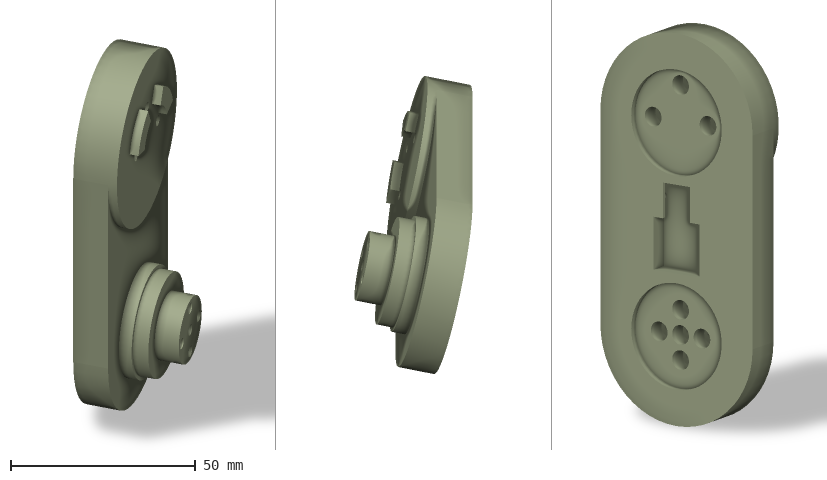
import cadquery as cq
import math

plate_width = 50.0
plate_height = 109.7
plate_thickness = 10.0
end_offset = (plate_height - plate_width) / 2

disk_front = 12.5

lug_front = 15.0
lug_start_angle = 15.2
lug_end_angle = 65.0

flange_diameter = 32.0
flange_front = 13.6
shoulder_diameter = 29.7
shoulder_front = 18.0
spigot_diameter = 19.2
spigot_front = 24.9

recess_diameter = 29.7
recess_depth = 2.0

upper_hole_diameter = 3.0
lower_hole_diameter = 3.2
counterbore_diameter = 5.5
counterbore_depth = 5.0
upper_hole_rise = 10.1
upper_hole_side = 9.0
lower_hole_radius = 7.0

pocket_depth = 5.0
lip_thickness = 1.0
pocket_width = 15.0
pocket_bottom = -12.3
pocket_shoulder = 2.5
neck_width = 9.0
neck_top = 12.5

detent_radius = 1.0
detent_depth = 4.6
detent_height = (pocket_shoulder + neck_top) / 2


def cylinder(diameter, start, end, y, z):
    """Cylinder along X between two x positions."""
    return cq.Workplane("YZ", origin=(start, y, z)).circle(diameter / 2).extrude(end - start)


def centered_block(width, bottom, top, start, end):
    """Box between two x positions and two heights, centered on y = 0."""
    block = cq.Workplane("XY").box(end - start, width, top - bottom, centered=(False, True, False))
    return block.translate((start, 0, bottom))


def lug(side):
    """Ring sector on the upper disk; side is +1 or -1 along Y."""

    def point(radius, angle):
        turn = math.radians(angle)
        return (side * radius * math.cos(turn), radius * math.sin(turn))

    inner = spigot_diameter / 2
    outer = shoulder_diameter / 2
    middle_angle = (lug_start_angle + lug_end_angle) / 2
    return (
        cq.Workplane("YZ", origin=(plate_thickness, 0, end_offset))
        .moveTo(*point(inner, lug_start_angle))
        .lineTo(*point(outer, lug_start_angle))
        .threePointArc(point(outer, middle_angle), point(outer, lug_end_angle))
        .lineTo(*point(inner, lug_end_angle))
        .threePointArc(point(inner, middle_angle), point(inner, lug_start_angle))
        .close()
        .extrude(lug_front - plate_thickness)
    )


def screw_hole(diameter, y, z):
    """Through hole with a counterbore below the recess floor."""
    bore = cylinder(diameter, 0, spigot_front, y, z)
    return bore.union(cylinder(counterbore_diameter, 0, recess_depth + counterbore_depth, y, z))


result = centered_block(plate_width, -end_offset, end_offset, 0, plate_thickness)
result = result.union(cylinder(plate_width, 0, disk_front, 0, end_offset))
result = result.union(cylinder(plate_width, 0, plate_thickness, 0, -end_offset))
for diameter, front in (
    (flange_diameter, flange_front),
    (shoulder_diameter, shoulder_front),
    (spigot_diameter, spigot_front),
):
    result = result.union(cylinder(diameter, 0, front, 0, -end_offset))
for side in (-1, 1):
    result = result.union(lug(side))

for center_height in (-end_offset, end_offset):
    result = result.cut(cylinder(recess_diameter, 0, recess_depth, 0, center_height))
result = result.cut(centered_block(pocket_width, pocket_bottom, pocket_shoulder, 0, pocket_depth))
result = result.cut(centered_block(neck_width, pocket_shoulder, neck_top, 0, lip_thickness))
result = result.cut(centered_block(pocket_width, pocket_shoulder, neck_top, lip_thickness, pocket_depth))
for side in (-1, 1):
    detent = cq.Workplane("XY").sphere(detent_radius)
    result = result.union(detent.translate((detent_depth, side * pocket_width / 2, detent_height)))

for y, rise in ((-upper_hole_side, 0), (upper_hole_side, 0), (0, upper_hole_rise)):
    result = result.cut(screw_hole(upper_hole_diameter, y, end_offset + rise))
for y, rise in (
    (0, 0),
    (-lower_hole_radius, 0),
    (lower_hole_radius, 0),
    (0, -lower_hole_radius),
    (0, lower_hole_radius),
):
    result = result.cut(screw_hole(lower_hole_diameter, y, rise - end_offset))